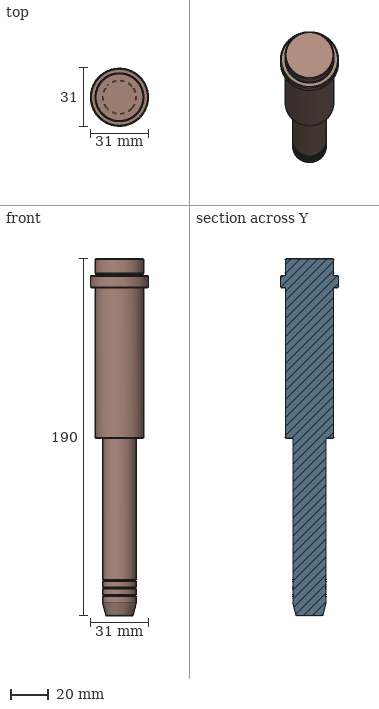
import cadquery as cq

total_length = 190.0
body_radius = 26.0 / 2
body_bottom = 94.5
body_chamfer = 0.5
flange_radius = 31.0 / 2
flange_bottom = 174.5
flange_top = 181.0
flange_chamfer = 0.5
shaft_radius = 18.0 / 2
nose_height = 7.0
nose_radius = 7.2
nose_fillet = 0.5

groove_count = 3
groove_pitch = 4.0
groove_width = 1.1
groove_depth = 0.4
first_groove = 10.3
relief_width = 1.1
relief_depth = 0.4
floor_share = 1 / 3


def cylinder(radius, bottom, top):
    return cq.Workplane("XY").workplane(offset=bottom).circle(radius).extrude(top - bottom)


def ring_groove(radius, bottom, width, depth):
    """Ring with sloping walls that starts at the given height; it is cut from a cylinder."""
    wall_height = width * (1 - floor_share) / 2
    profile = [
        (radius + depth, bottom),
        (radius, bottom),
        (radius - depth, bottom + wall_height),
        (radius - depth, bottom + width - wall_height),
        (radius, bottom + width),
        (radius + depth, bottom + width),
    ]
    return cq.Workplane("XZ").polyline(profile).close().revolve(360, (0, 0), (0, 1))


nose = (
    cq.Workplane("XZ")
    .polyline([(0, 0), (nose_radius, 0), (shaft_radius, nose_height), (0, nose_height)])
    .close()
    .revolve(360, (0, 0), (0, 1))
    .faces("<Z")
    .edges()
    .fillet(nose_fillet)
)

shaft = cylinder(shaft_radius, nose_height, body_bottom)
for index in range(groove_count):
    groove_bottom = first_groove + index * groove_pitch
    shaft = shaft.cut(ring_groove(shaft_radius, groove_bottom, groove_width, groove_depth))

body = cylinder(body_radius, body_bottom, total_length).edges().chamfer(body_chamfer)
body = body.cut(ring_groove(body_radius, flange_top, relief_width, relief_depth))

flange = cylinder(flange_radius, flange_bottom, flange_top).edges().chamfer(flange_chamfer)

result = nose.union(shaft).union(body).union(flange)